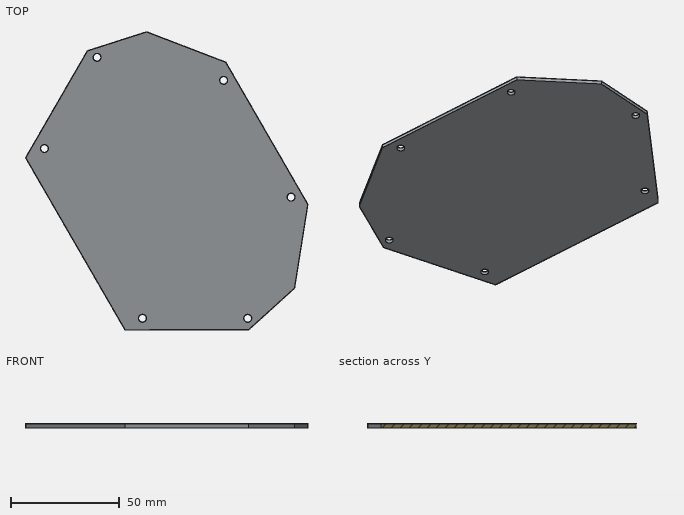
import cadquery as cq

thickness = 2.0
axis_angle = 30.0
hole_diameter = 3.5

half_corners = [
    (0.0, 45.7),
    (49.2, 74.1),
    (77.15, 68.05),
    (101.7, 37.75),
]

half_holes = [
    (9.65, 45.05),
    (51.55, 69.25),
    (96.65, 31.0),
]


def mirrored(points):
    """Return the points reflected across the symmetry axis."""
    return [(along, -across) for along, across in points]


def make_plate():
    """Extrude the full outline, closed along the long straight side."""
    outline = half_corners + mirrored(half_corners)[::-1]
    return cq.Workplane("XY").polyline(outline).close().extrude(thickness)


def make_hole_cutters():
    """Build one through cylinder for each screw hole."""
    centers = half_holes + mirrored(half_holes)
    return cq.Workplane("XY").pushPoints(centers).circle(hole_diameter / 2).extrude(thickness)


plate = make_plate().cut(make_hole_cutters())
result = plate.rotate((0, 0, 0), (0, 0, 1), axis_angle)